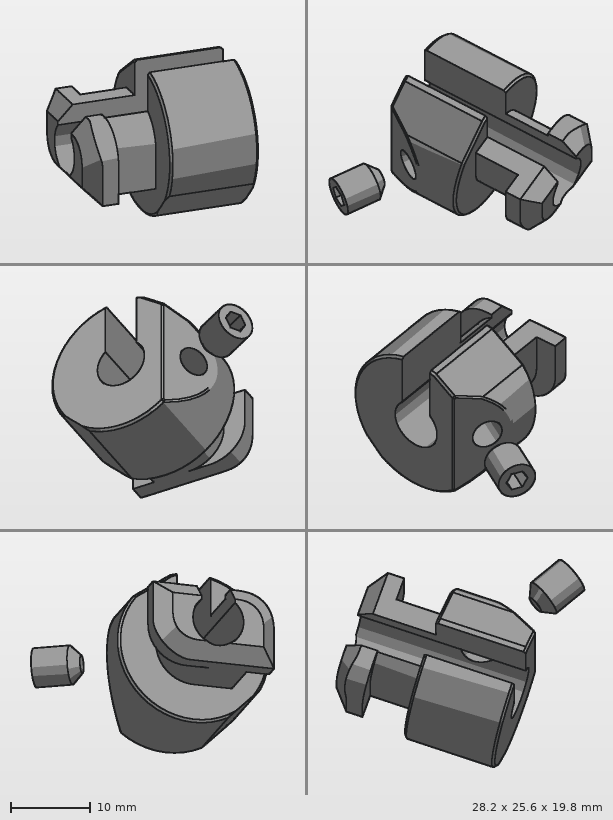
import cadquery as cq
import math

BODY_RADIUS = 10.0
BODY_LENGTH = 12.02
RIM_CHAMFER = 0.3
SEAT_CHAMFER = 0.17
SIDE_FLAT_DISTANCE = 9.55
UPPER_FLAT_ANGLE = 124.8
LOWER_FLAT_ANGLE = -45.0

SEAT_ANGLE = 150.0
SEAT_BACK_X = -5.95
SCREW_HOLE_Y = -4.03
SCREW_HOLE_RADIUS = 2.0

KEY_HALF_HEIGHT = 5.0
KEY_ROUNDING = KEY_HALF_HEIGHT - 0.03
HEAD_HALF_WIDTH = 8.0
STEM_END = 18.27
HEAD_CHAMFER = 2.0
FRONT_END = 22.44

BORE_RADIUS = 3.35
SLOT_WIDTH = 4.42

SCREW_RADIUS = 2.5
SCREW_LENGTH = 6.02
SCREW_TIP_CHAMFER = 1.35
SCREW_BACK_GAP = 10.0
HEX_ACROSS_FLATS = 2.5
HEX_DEPTH = 3.38

CUT_SIZE = 3 * BODY_RADIUS

seat_direction = cq.Vector(math.cos(math.radians(SEAT_ANGLE)), math.sin(math.radians(SEAT_ANGLE)), 0)
seat_slope = seat_direction.y / seat_direction.x
hole_mouth = cq.Vector(SEAT_BACK_X - SCREW_HOLE_Y * seat_slope, SCREW_HOLE_Y, 0)


def side_flat_cutter(angle):
    """Block outside a lengthwise flat that faces the given direction."""
    block = cq.Workplane("XY").box(CUT_SIZE, CUT_SIZE, CUT_SIZE)
    block = block.translate((SIDE_FLAT_DISTANCE + CUT_SIZE / 2, 0, 0))
    return block.rotate((0, 0, 0), (0, 1, 0), -angle)


def seat_cutter():
    """Block outside the sloped screw seat."""
    block = cq.Workplane("XY").box(CUT_SIZE, CUT_SIZE, CUT_SIZE)
    block = block.translate((CUT_SIZE / 2, 0, 0)).rotate((0, 0, 0), (0, 0, 1), SEAT_ANGLE)
    return block.translate((SEAT_BACK_X, 0, 0))


def make_body():
    """Cylinder with an upper flat, a chamfered rim and seat, and a plain lower flat."""
    body = cq.Workplane("XZ").circle(BODY_RADIUS).extrude(BODY_LENGTH)
    body = body.cut(side_flat_cutter(UPPER_FLAT_ANGLE))
    body = body.faces("|Y").edges().chamfer(RIM_CHAMFER).cut(seat_cutter())
    seat = body.faces(cq.selectors.ParallelDirSelector(seat_direction))
    body = seat.edges().chamfer(SEAT_CHAMFER)
    return body.cut(side_flat_cutter(LOWER_FLAT_ANGLE))


def make_key_block(half_width, start, end):
    """Rectangular block centred on the body axis, between two distances from the back face."""
    block = cq.Workplane("XZ", origin=(0, -start, 0))
    return block.rect(2 * half_width, 2 * KEY_HALF_HEIGHT).extrude(end - start)


def round_opposite_corners(block, edge_selector):
    """Round the selected edges at the lower left and upper right of a block."""
    corner_edges = [e for e in block.edges(edge_selector).vals() if e.Center().x * e.Center().z > 0]
    return block.newObject(corner_edges).fillet(KEY_ROUNDING)


def make_head_taper():
    """Pyramid that widens at 45 degrees from the front face, with two slanted edges rounded."""
    length = FRONT_END - STEM_END
    spread = length - HEAD_CHAMFER
    taper = cq.Workplane("XZ", origin=(0, -STEM_END, 0))
    taper = taper.rect(2 * (HEAD_HALF_WIDTH + spread), 2 * (KEY_HALF_HEIGHT + spread)).extrude(length, taper=45)
    return round_opposite_corners(taper, "not #Y")


def make_key():
    """Square stem and a wider head that tapers to its front face."""
    stem = round_opposite_corners(make_key_block(KEY_HALF_HEIGHT, BODY_LENGTH, STEM_END), "|Y")
    head = round_opposite_corners(make_key_block(HEAD_HALF_WIDTH, STEM_END, FRONT_END), "|Y")
    return stem.union(head.intersect(make_head_taper()))


def make_holder():
    """Body and key in one piece, with the bore, open slot and screw hole cut through."""
    holder = make_body().union(make_key())
    bore = cq.Workplane("XZ").circle(BORE_RADIUS).extrude(FRONT_END)
    slot = cq.Workplane("XY").box(SLOT_WIDTH, FRONT_END, BODY_RADIUS, centered=(True, False, False))
    slot = slot.translate((0, -FRONT_END, 0))
    hole_depth = hole_mouth.Length
    screw_hole = cq.Solid.makeCylinder(SCREW_HOLE_RADIUS, hole_depth, hole_mouth, seat_direction * -1)
    return holder.cut(bore).cut(slot).cut(cq.Workplane(screw_hole))


def make_set_screw():
    """Cone-tipped screw with a hexagon socket, lined up with the screw hole."""
    outer_end = hole_mouth + seat_direction * SCREW_BACK_GAP
    end_plane = cq.Plane(outer_end, xDir=(0, 0, 1), normal=seat_direction * -1)
    screw = cq.Workplane(end_plane).circle(SCREW_RADIUS).extrude(SCREW_LENGTH)
    screw = screw.faces(">X").edges().chamfer(SCREW_TIP_CHAMFER)
    hex_diameter = HEX_ACROSS_FLATS / math.cos(math.pi / 6)
    socket = cq.Workplane(end_plane).transformed(rotate=(0, 0, 30)).polygon(6, hex_diameter).extrude(HEX_DEPTH)
    return screw.cut(socket)


holder = make_holder()
set_screw = make_set_screw()
result = cq.Compound.makeCompound([holder.val(), set_screw.val()])